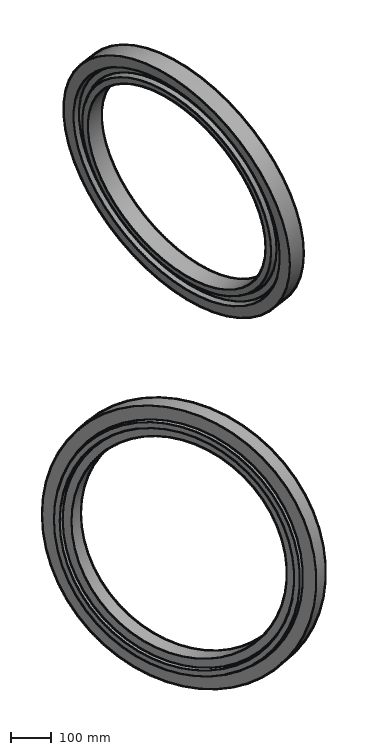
import cadquery as cq

outer_radius = 383.0
bore_radius = 300.0
total_width = 62.0

tongue_height = 11.5
tongue_base_outer_radius = 345.5
tongue_base_inner_radius = 325.0
tongue_side_inset = 2.0

groove_depth = 14.0
groove_mouth_outer_radius = 348.5
groove_mouth_inner_radius = 319.5
groove_side_inset = 5.0

front_y = -total_width / 2
body_back_y = front_y + total_width - tongue_height


def revolve_section(points):
    """Revolve a closed (radius, Y) outline around the Y axis."""
    return cq.Workplane("XY").polyline(points).close().revolve(360, (0, 0, 0), (0, 1, 0))


def tapered_ring(inner_radius, outer_radius, side_inset, base_y, tip_y):
    """Ring whose section narrows by side_inset on each side from base to tip."""
    return revolve_section([
        (inner_radius, base_y),
        (outer_radius, base_y),
        (outer_radius - side_inset, tip_y),
        (inner_radius + side_inset, tip_y),
    ])


body = tapered_ring(bore_radius, outer_radius, 0, front_y, body_back_y)

tongue = tapered_ring(
    tongue_base_inner_radius,
    tongue_base_outer_radius,
    tongue_side_inset,
    body_back_y,
    body_back_y + tongue_height,
)

groove = tapered_ring(
    groove_mouth_inner_radius,
    groove_mouth_outer_radius,
    groove_side_inset,
    front_y,
    front_y + groove_depth,
)

result = body.union(tongue).cut(groove)